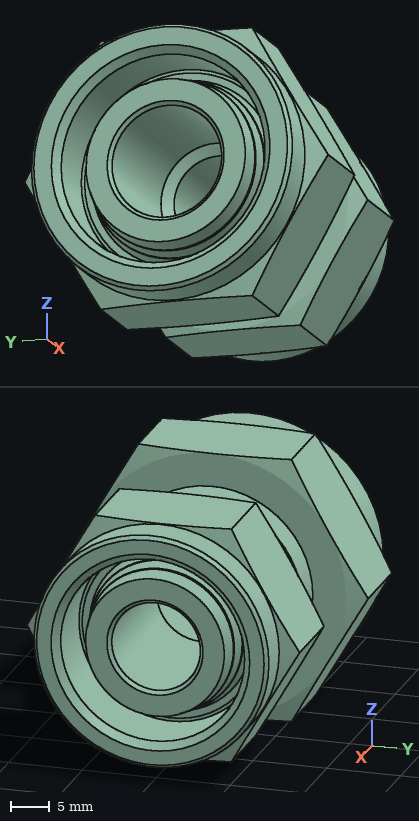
import cadquery as cq
import math

total_length = 45.05
hex_length = 12.0

large_across_flats = 36.0
large_collar_length = 5.5
large_collar_radius = 17.85
large_body_radius = 13.5
large_bore_radius = 7.5

small_across_flats = 32.0
small_collar_length = 5.0
small_collar_radius = 15.9
small_body_radius = 12.0
small_bore_radius = 6.0

collar_chamfer = 0.5
mouth_clearance = 0.45
mouth_chamfer = 1.0
hex_chamfer_angle = 15.0

tip_depth = 2.0
barb_end_depths = (4.4, 6.6)
groove_width = 0.4
groove_height = 0.5
shoulder_depth = 9.0
tip_drop = 2.6
barb_drops = (2.1, 1.6)
shoulder_drop = 1.0
bore_chamfer = 0.5

taper_start = 21.95
taper_end = taper_start + large_body_radius - small_body_radius
bore_cone_slope = 60.0
bore_cone_length = (large_bore_radius - small_bore_radius) / math.tan(math.radians(bore_cone_slope))


def revolve_about_x(points):
    """Solid of revolution from (x, radius) points."""
    return cq.Workplane("XY").polyline(points).close().revolve(360, (0, 0, 0), (1, 0, 0))


def hex_section(across_flats, start):
    """Hexagonal prism with both ends trimmed by a shallow cone."""
    flat_radius = across_flats / 2
    corner_radius = flat_radius / math.cos(math.radians(30))
    trim = (corner_radius - flat_radius) * math.tan(math.radians(hex_chamfer_angle))
    end = start + hex_length
    prism = (
        cq.Workplane("YZ", origin=(start, 0, 0))
        .polygon(6, 2 * corner_radius)
        .extrude(hex_length)
    )
    envelope = revolve_about_x([
        (start, 0),
        (start, flat_radius),
        (start + trim, corner_radius),
        (end - trim, corner_radius),
        (end, flat_radius),
        (end, 0),
    ])
    return prism.intersect(envelope)


def make_nut(across_flats, collar_length, collar_radius, body_radius):
    """Nut with its open face at x = 0 and its hexagon towards +X."""
    nut_length = collar_length + hex_length
    mouth_radius = body_radius + mouth_clearance
    collar = (
        cq.Workplane("YZ")
        .circle(collar_radius)
        .extrude(collar_length)
        .faces("<X")
        .chamfer(collar_chamfer)
    )
    cavity = revolve_about_x([
        (0, 0),
        (0, mouth_radius + mouth_chamfer),
        (mouth_chamfer, mouth_radius),
        (shoulder_depth, mouth_radius),
        (shoulder_depth, body_radius),
        (nut_length, body_radius),
        (nut_length, 0),
    ])
    return collar.union(hex_section(across_flats, collar_length)).cut(cavity)


def barb_profile(body_radius):
    """(depth, radius) points of the stacked barbs, from the tip to the shoulder."""
    points = [(tip_depth, body_radius - tip_drop)]
    for depth, drop in zip(barb_end_depths, barb_drops):
        barb_radius = body_radius - drop
        groove_end = depth + groove_width
        points += [
            (depth, barb_radius),
            (depth, barb_radius - groove_height),
            (groove_end, barb_radius - groove_height),
            (groove_end, barb_radius),
        ]
    points.append((shoulder_depth, body_radius - shoulder_drop))
    return points


def end_profile(body_radius, bore_radius):
    """(depth, radius) points of one body end, from the shoulder out to the tip and into the bore."""
    shoulder_edge = [(shoulder_depth, body_radius)]
    bore_mouth = [
        (tip_depth, bore_radius + bore_chamfer),
        (tip_depth + bore_chamfer, bore_radius),
    ]
    return shoulder_edge + barb_profile(body_radius)[::-1] + bore_mouth


def make_body():
    """Reducing body with a barbed insert at each end and a stepped through bore."""
    large_end = end_profile(large_body_radius, large_bore_radius)
    small_end = [
        (total_length - depth, radius)
        for depth, radius in end_profile(small_body_radius, small_bore_radius)
    ]
    inner_taper = [
        (taper_start, large_bore_radius),
        (taper_start + bore_cone_length, small_bore_radius),
    ]
    outer_taper = [(taper_end, small_body_radius), (taper_start, large_body_radius)]
    return revolve_about_x(large_end + inner_taper + small_end[::-1] + outer_taper)


body = make_body()
large_nut = make_nut(large_across_flats, large_collar_length, large_collar_radius, large_body_radius)
small_nut = (
    make_nut(small_across_flats, small_collar_length, small_collar_radius, small_body_radius)
    .mirror("YZ")
    .translate((total_length, 0, 0))
)

result = cq.Compound.makeCompound([body.val(), large_nut.val(), small_nut.val()])